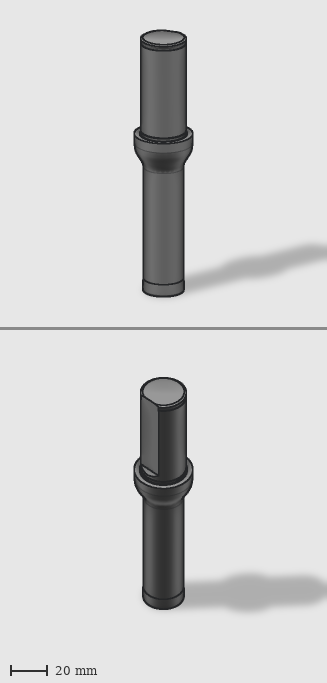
import cadquery as cq
import math

total_height = 147.0
top_chamfer_bottom = 146.3
lip_bottom = 145.7
groove_taper_bottom = 144.6
groove_bottom = 143.8
shank_bottom = 93.0
neck_top = 92.6
collar_top = 91.1
collar_bottom = 85.8
tip_top = 7.4
tip_corner_top = 1.2
tip_corner_bottom = 0.3

top_face_diameter = 22.6
shank_diameter = 25.0
neck_diameter = 24.5
collar_diameter = 32.0
body_diameter = 22.2
tip_diameter = 22.6
tip_end_diameter = 22.3

recess_diameter = 26.0
recess_depth = 0.1

flat_offset = 10.5
flat_bottom = 97.0

collar_arc_radius = 13.7
body_arc_radius = 8.1

tip_bulge = 0.07


def collar_transition():
    """Return the middle of the collar arc, the point where the arcs meet,
    the middle of the body arc and the end of the transition, as (radius, z)."""
    collar_center_r = collar_diameter / 2 - collar_arc_radius
    body_center_r = body_diameter / 2 + body_arc_radius
    cos_turn = (body_center_r - collar_center_r) / (collar_arc_radius + body_arc_radius)
    turn = math.acos(cos_turn)
    end_z = collar_bottom - (collar_arc_radius + body_arc_radius) * math.sin(turn)

    def on_collar_arc(angle):
        return (
            collar_center_r + collar_arc_radius * math.cos(angle),
            collar_bottom - collar_arc_radius * math.sin(angle),
        )

    body_arc_middle = (
        body_center_r - body_arc_radius * math.cos(turn / 2),
        end_z + body_arc_radius * math.sin(turn / 2),
    )
    return on_collar_arc(turn / 2), on_collar_arc(turn), body_arc_middle, (body_diameter / 2, end_z)


def make_flat_cutter():
    """Block beyond the flat, with a 45 degree lower face."""
    cutter_depth = collar_diameter / 2 - flat_offset
    return (
        cq.Workplane("YZ")
        .moveTo(flat_offset, flat_bottom)
        .lineTo(flat_offset + cutter_depth, flat_bottom - cutter_depth)
        .lineTo(flat_offset + cutter_depth, total_height)
        .lineTo(flat_offset, total_height)
        .close()
        .extrude(collar_diameter / 2, both=True)
    )


def make_holder():
    """Shank, grooved neck, collar and long body, turned about Z."""
    collar_arc_middle, arcs_meet, body_arc_middle, transition_end = collar_transition()
    straight_down = (0, -1)
    recess_floor = collar_top - recess_depth
    turned = (
        cq.Workplane("XZ")
        .moveTo(0, total_height)
        .lineTo(top_face_diameter / 2, total_height)
        .lineTo(shank_diameter / 2, top_chamfer_bottom)
        .lineTo(shank_diameter / 2, lip_bottom)
        .lineTo(neck_diameter / 2, groove_taper_bottom)
        .lineTo(neck_diameter / 2, groove_bottom)
        .lineTo(shank_diameter / 2, groove_bottom)
        .lineTo(shank_diameter / 2, shank_bottom)
        .lineTo(neck_diameter / 2, neck_top)
        .lineTo(neck_diameter / 2, recess_floor)
        .lineTo(recess_diameter / 2, recess_floor)
        .lineTo(recess_diameter / 2, collar_top)
        .lineTo(collar_diameter / 2, collar_top)
        .lineTo(collar_diameter / 2, collar_bottom)
        .spline(
            [collar_arc_middle, arcs_meet, body_arc_middle, transition_end],
            tangents=[straight_down, straight_down],
            includeCurrent=True,
        )
        .lineTo(body_diameter / 2, tip_top)
        .lineTo(0, tip_top)
        .close()
        .revolve(360, (0, 0, 0), (0, 1, 0))
    )
    return turned.cut(make_flat_cutter())


def make_tip():
    """Cutting tip: slightly flared flank, broken corner and shallow end cone."""
    flank_middle = (
        (body_diameter + tip_diameter) / 4 + tip_bulge,
        (tip_top + tip_corner_top) / 2,
    )
    return (
        cq.Workplane("XZ")
        .moveTo(0, tip_top)
        .lineTo(body_diameter / 2, tip_top)
        .threePointArc(flank_middle, (tip_diameter / 2, tip_corner_top))
        .lineTo(tip_end_diameter / 2, tip_corner_bottom)
        .lineTo(0, 0)
        .close()
        .revolve(360, (0, 0, 0), (0, 1, 0))
    )


holder = make_holder()
tip = make_tip()

result = cq.Compound.makeCompound([holder.val(), tip.val()])